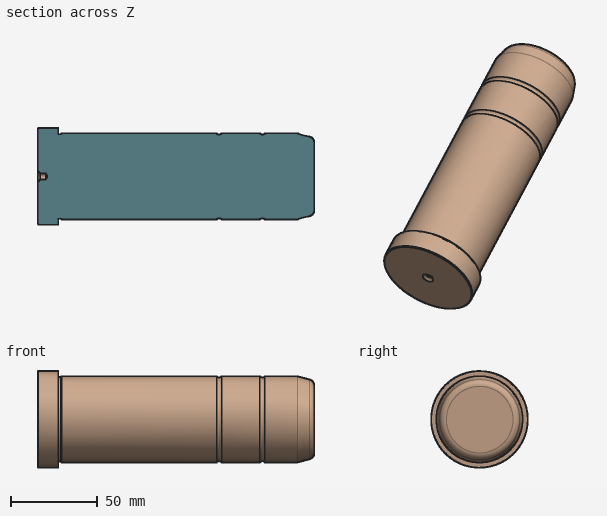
import cadquery as cq
import math

TOTAL_LENGTH = 160.0
SHANK_RADIUS = 50.0 / 2
X_START = -TOTAL_LENGTH / 2
X_TIP = X_START + TOTAL_LENGTH

HEAD_RADIUS = 56.0 / 2
HEAD_LENGTH = 12.0
HEAD_CHAMFER = 0.5

UNDERCUT_DEPTH = 0.5
UNDERCUT_LENGTH = 2.0
UNDERCUT_RUNOUT = 0.5

GROOVE_OFFSETS = (103.4, 128.4)
GROOVE_WIDTH = 3.0
GROOVE_DEPTH = 0.7

LEAD_IN_LENGTH = 10.0
LEAD_IN_ANGLE = math.radians(15.0)
TIP_ROUND = 4.0

CENTER_MOUTH_RADIUS = 6.7 / 2
CENTER_PILOT_RADIUS = 3.4 / 2
CENTER_HALF_ANGLE = math.radians(45.0)
CENTER_PILOT_LENGTH = 3.0
DRILL_TIP_HALF_ANGLE = math.radians(60.0)


def revolve_about_x(points):
    """Revolve a closed (x, radius) outline about the X axis."""
    return cq.Workplane("XZ").polyline(points).close().revolve(360, (0, 0), (1, 0))


def make_head():
    head = cq.Workplane("YZ", origin=(X_START, 0, 0)).circle(HEAD_RADIUS).extrude(HEAD_LENGTH)
    return head.faces("<X").edges().chamfer(HEAD_CHAMFER)


def make_shank():
    neck_radius = SHANK_RADIUS - UNDERCUT_DEPTH
    x_head_back = X_START + HEAD_LENGTH
    x_undercut_end = x_head_back + UNDERCUT_LENGTH
    x_lead_in = X_TIP - LEAD_IN_LENGTH
    tip_radius = SHANK_RADIUS - LEAD_IN_LENGTH * math.tan(LEAD_IN_ANGLE)
    shank = revolve_about_x([
        (x_head_back, 0),
        (x_head_back, neck_radius),
        (x_undercut_end - UNDERCUT_RUNOUT, neck_radius),
        (x_undercut_end, SHANK_RADIUS),
        (x_lead_in, SHANK_RADIUS),
        (X_TIP, tip_radius),
        (X_TIP, 0),
    ])
    return shank.faces(">X").edges().fillet(TIP_ROUND)


def make_groove_cutter(offset):
    """Ring with a curved floor, starting at this distance from the head face."""
    x_near = X_START + offset
    x_far = x_near + GROOVE_WIDTH
    deepest_point = (x_near + GROOVE_WIDTH / 2, SHANK_RADIUS - GROOVE_DEPTH)
    section = cq.Workplane("XZ").moveTo(x_near, SHANK_RADIUS)
    section = section.threePointArc(deepest_point, (x_far, SHANK_RADIUS)).close()
    return section.revolve(360, (0, 0), (1, 0))


def make_center_hole_cutter():
    cone_length = (CENTER_MOUTH_RADIUS - CENTER_PILOT_RADIUS) / math.tan(CENTER_HALF_ANGLE)
    x_pilot = X_START + cone_length
    x_pilot_end = x_pilot + CENTER_PILOT_LENGTH
    x_drill_tip = x_pilot_end + CENTER_PILOT_RADIUS / math.tan(DRILL_TIP_HALF_ANGLE)
    return revolve_about_x([
        (X_START, 0),
        (X_START, CENTER_MOUTH_RADIUS),
        (x_pilot, CENTER_PILOT_RADIUS),
        (x_pilot_end, CENTER_PILOT_RADIUS),
        (x_drill_tip, 0),
    ])


result = make_head().union(make_shank())
for groove_offset in GROOVE_OFFSETS:
    result = result.cut(make_groove_cutter(groove_offset))
result = result.cut(make_center_hole_cutter())